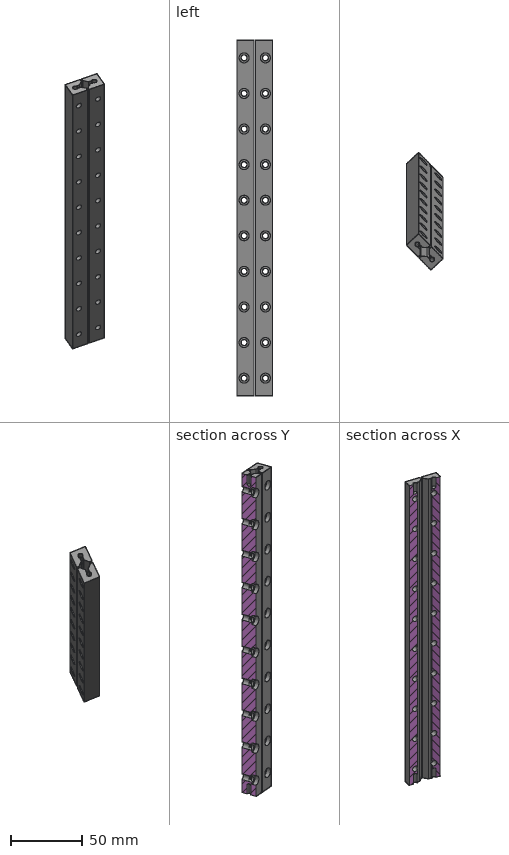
import cadquery as cq

length = 250.0
pair_depth = 25.0
width = 12.0

gap = 1.0
inner_face = gap / 2
outer_face = pair_depth / 2

groove_half_width = 4.0
slot_width = 2.0
slot_bottom = 5.8
slot_mouth = inner_face + groove_half_width - slot_width / 2

edge_chamfer = 0.15

hole_offset = 7.5
hole_count = 10
hole_pitch = length / hole_count
hole_diameter = 4.0
counterbore_diameter = 7.0
counterbore_depth = 3.2

end_hole_diameter = 3.0
end_hole_depth = 7.5
end_tip_depth = 1.0
countersink_diameter = 3.5
countersink_depth = (countersink_diameter - end_hole_diameter) / 2


def rail_bar():
    """Bar on the +Y side with the raceway groove facing -Y."""
    half_slot = slot_width / 2
    half_width = width / 2
    bar = (
        cq.Workplane("XY")
        .workplane(offset=-length / 2)
        .moveTo(-half_width, outer_face)
        .lineTo(-half_width, inner_face)
        .lineTo(-groove_half_width, inner_face)
        .lineTo(-half_slot, slot_mouth)
        .lineTo(-half_slot, slot_bottom)
        .lineTo(half_slot, slot_bottom)
        .lineTo(half_slot, slot_mouth)
        .lineTo(groove_half_width, inner_face)
        .lineTo(half_width, inner_face)
        .lineTo(half_width, outer_face)
        .close()
        .extrude(length)
    )
    bar = bar.edges("|Z and (<X or >X)").chamfer(edge_chamfer)
    return bar.faces("|Z").chamfer(edge_chamfer)


def hole_along_x(diameter, depth, z):
    """Cylinder entering the rail from its -X face."""
    start = cq.Vector(-width / 2, hole_offset, z)
    return cq.Solid.makeCylinder(diameter / 2, depth, start, cq.Vector(1, 0, 0))


def cut_mounting_holes(rail):
    """Row of evenly spaced through holes, counterbored from the -X face."""
    for index in range(hole_count):
        z = (index - (hole_count - 1) / 2) * hole_pitch
        rail = rail.cut(hole_along_x(hole_diameter, width, z))
        rail = rail.cut(hole_along_x(counterbore_diameter, counterbore_depth, z))
    return rail


def cut_end_holes(rail):
    """Countersunk blind hole with a conical bottom in each end face."""
    hole_radius = end_hole_diameter / 2
    countersink_radius = countersink_diameter / 2
    for end in (-1, 1):
        mouth = cq.Vector(0, hole_offset, end * length / 2)
        inward = cq.Vector(0, 0, -end)
        bottom = mouth + inward * end_hole_depth
        bore = cq.Solid.makeCylinder(hole_radius, end_hole_depth, mouth, inward)
        tip = cq.Solid.makeCone(hole_radius, 0, end_tip_depth, bottom, inward)
        countersink = cq.Solid.makeCone(countersink_radius, hole_radius, countersink_depth, mouth, inward)
        rail = rail.cut(bore.fuse(tip)).cut(countersink)
    return rail


def make_rail(side):
    """Finished rail on the +Y side (side 1) or mirrored to the -Y side (side -1)."""
    rail = cut_end_holes(cut_mounting_holes(rail_bar()))
    if side < 0:
        rail = rail.mirror("XZ")
    return rail


rails = [make_rail(side) for side in (1, -1)]

result = cq.Compound.makeCompound([rail.solids().val() for rail in rails])